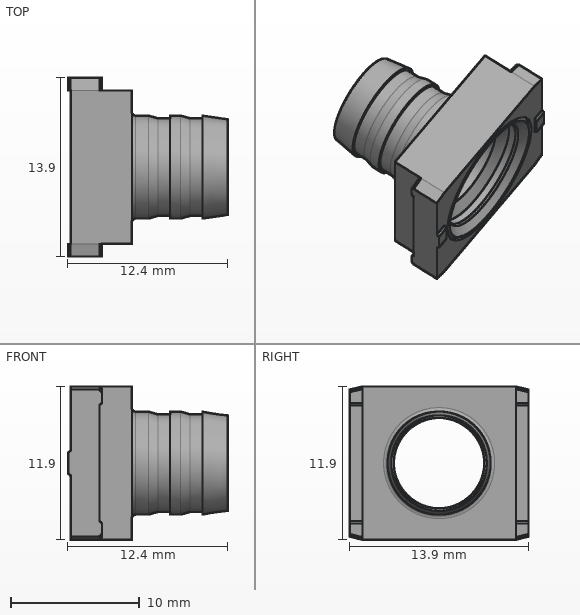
import cadquery as cq


block_length = 4.74
block_size = 11.9
overall_width = 13.9
ear_width = (overall_width - block_size) / 2
ear_length = 2.22
ear_corner_drop = 0.25
step = 0.2
pad_inner_z = 4.48
peg_base_height = 2.0

tube_end = 12.2
barb_radius = 4.0
neck_radius = 3.8
tip_radius = 3.71
root_fillet = 0.3
first_barb_end = 6.05
first_neck_start = 6.75
second_barb_start = 7.71
second_barb_end = 8.53
second_neck_start = 9.27
last_barb_start = 10.22

bore_radius = 3.5
seat_radius = 4.5
seat_end = 1.38
bore_cone_end = 1.97
recess_radius = 5.53

ring_length = 0.78
ring_cone_end = 0.55
ring_cone_end_radius = 4.57
ring_chamfer = 0.29
mouth_arc_rise = 0.018


def revolve_about_x(profile):
    """Turn a profile in the XY plane about the X axis."""
    return profile.close().revolve(360, (0, 0, 0), (1, 0, 0))


def make_block():
    return cq.Workplane("XY").box(block_length, block_size, block_size, centered=(False, True, True))


def make_ear():
    """Ear on the +Y side, with sloped corners and two pads raised on its back."""
    inner_y = block_size / 2
    outer_y = overall_width / 2
    top_z = block_size / 2
    outer_z = top_z - ear_corner_drop
    ear = (
        cq.Workplane("YZ")
        .polyline([(inner_y, -top_z), (outer_y, -outer_z), (outer_y, outer_z), (inner_y, top_z)])
        .close()
        .extrude(ear_length + step)
    )
    sloped_ends = ear.faces("<Z or >Z")
    ear = sloped_ends.edges(">X").chamfer(step)
    ramp_end_z = pad_inner_z + step
    relief = (
        cq.Workplane("XZ", origin=(0, inner_y, 0))
        .polyline([
            (ear_length, -pad_inner_z),
            (ear_length + step, -ramp_end_z),
            (ear_length + step, ramp_end_z),
            (ear_length, pad_inner_z),
        ])
        .close()
        .extrude(-ear_width)
    )
    return ear.cut(relief)


def make_peg():
    """Peg on the front of the +Y ear, tapered at its top and bottom."""
    base_z = peg_base_height / 2
    tip_z = base_z - step
    return (
        cq.Workplane("XZ", origin=(0, block_size / 2, 0))
        .polyline([(0, -base_z), (-step, -tip_z), (-step, tip_z), (0, base_z)])
        .close()
        .extrude(-ear_width)
    )


def make_tube():
    """Solid barbed tube with a concave fillet where it leaves the block."""
    fillet_end = block_length + root_fillet
    fillet_radius = barb_radius + root_fillet
    fillet_mid = root_fillet * (1 - 0.5 ** 0.5)
    return revolve_about_x(
        cq.Workplane("XY")
        .moveTo(block_length, 0)
        .lineTo(block_length, fillet_radius)
        .threePointArc((block_length + fillet_mid, barb_radius + fillet_mid), (fillet_end, barb_radius))
        .lineTo(first_barb_end, barb_radius)
        .lineTo(first_neck_start, neck_radius)
        .lineTo(second_barb_start, neck_radius)
        .lineTo(second_barb_start, barb_radius)
        .lineTo(second_barb_end, barb_radius)
        .lineTo(second_neck_start, neck_radius)
        .lineTo(last_barb_start, neck_radius)
        .lineTo(last_barb_start, barb_radius)
        .lineTo(tube_end, tip_radius)
        .lineTo(tube_end, 0)
    )


def make_bore():
    """Ring recess, seat, cone and through bore as one cutting shape."""
    return revolve_about_x(
        cq.Workplane("XY")
        .polyline([
            (0, 0),
            (0, recess_radius),
            (ring_length, recess_radius),
            (ring_length, seat_radius),
            (seat_end, seat_radius),
            (bore_cone_end, bore_radius),
            (tube_end, bore_radius),
            (tube_end, 0),
        ])
    )


def make_housing():
    side = make_ear().union(make_peg())
    solid = make_block().union(side).union(side.mirror("XZ")).union(make_tube())
    return solid.cut(make_bore())


def make_ring():
    """Ring in the front recess, with a chamfered outer rim and a conical mouth that curves into the seat."""
    return revolve_about_x(
        cq.Workplane("XY")
        .moveTo(ring_cone_end, ring_cone_end_radius)
        .lineTo(0, recess_radius - ring_chamfer)
        .lineTo(ring_chamfer, recess_radius)
        .lineTo(ring_length, recess_radius)
        .lineTo(ring_length, seat_radius)
        .sagittaArc((ring_cone_end, ring_cone_end_radius), mouth_arc_rise)
    )


housing = make_housing()
ring = make_ring()

result = cq.Compound.makeCompound([housing.val(), ring.val()])